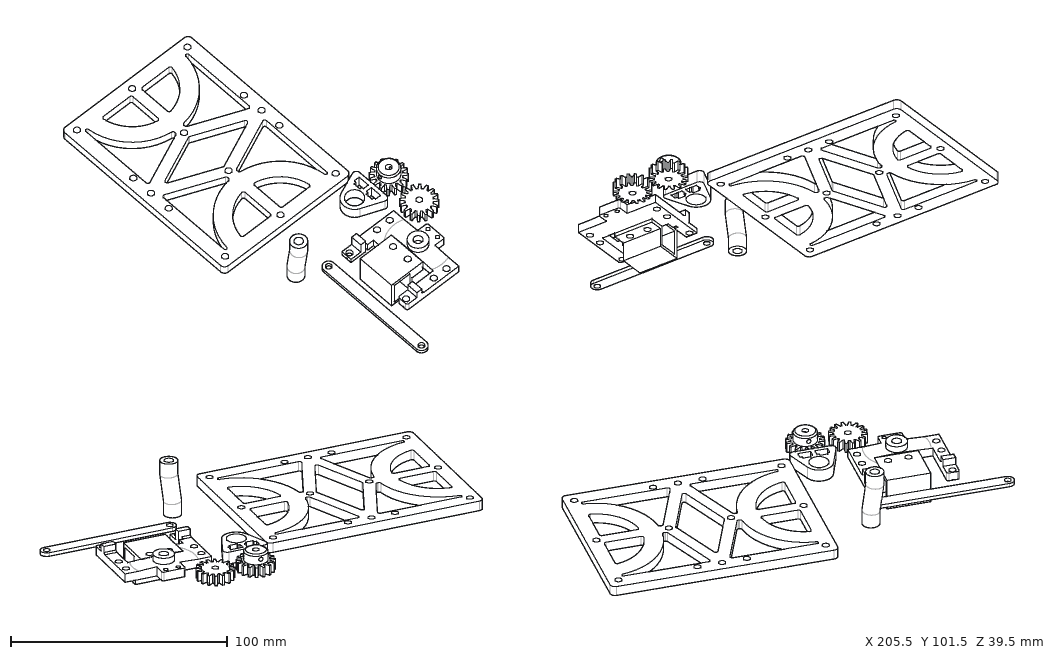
import cadquery as cq
import math

OVERALL_LENGTH = 205.5

PLATE_LENGTH = 109.7
PLATE_WIDTH = 80.1
PLATE_THICKNESS = 5.0
PLATE_CORNER_RADIUS = 2.5
FRAME_WIDTH = 7.5
RIB_WIDTH = 6.0
WINDOW_FILLET = 1.0
WINDOW_TIP_FILLET = 0.6
PLATE_HOLE_DIAMETER = 3.3
HOLE_END_X = 50.0
HOLE_EDGE_Y = 35.0
HOLE_NEAR_CENTER_X = 12.0
DIAMOND_HALF_LENGTH = 15.0
ARC_INNER_RADIUS = 22.0
ARC_OUTER_RADIUS = 31.0

GEAR_TEETH = 16
GEAR_TIP_RADIUS = 9.0
GEAR_ROOT_RADIUS = 6.5
TOOTH_ROOT_WIDTH = 1.8
TOOTH_TIP_WIDTH = 1.0
TOOTH_EMBED = 0.5
GEAR_BORE = 3.0
GEAR_Y = 52.5
HUB_GEAR_X = 66.8
FLAT_GEAR_X = 87.3
HUB_DIAMETER = 11.3
HUB_TOP = 10.0
HUB_CHAMFER = 0.8
SET_SCREW_DIAMETER = 2.0

EYE_X = HUB_GEAR_X
EYE_Y = 31.0
EYE_HEIGHT = 6.2
EYE_RADIUS = 6.8
EYE_HOLE = 9.2
EYE_TOP_Y = 42.7
EYE_CORNER_RADIUS = 2.0
EYE_CORNER_X = 9.0
SLOT_CENTER_X = 4.1
SLOT_WIDTH = 6.2
SLOT_TOP_Y = 40.7
SLOT_STEP_Y = 37.5
SLOT_BOTTOM_Y = 36.4
SLOT_STEP_WIDTH = 4.0

BAR_WIDTH = 6.2
BAR_THICKNESS = 1.8
BAR_Y = -2.5
BAR_HOLE_SPACING = 62.5
BAR_HOLE = 3.0

TUBE_X = 77.5
TUBE_Y = -16.0
TUBE_DIAMETER = 8.5
TUBE_BORE = 4.3
TUBE_SHIFT = 1.8
TUBE_END_LENGTH = 7.0
TUBE_HEIGHT = 28.0

HOLDER_MIN_X = 93.0
HOLDER_MAX_X = 114.2
HOLDER_MIN_Y = 9.9
HOLDER_WALL_Y = 22.8
HOLDER_BOTTOM = -11.5
FLANGE_BOTTOM = -1.8
TUNNEL_MIN_Y = 11.7
TUNNEL_MAX_Y = 21.5
TUNNEL_BOTTOM = -10.0
TUNNEL_TOP = 2.5
HOLDER_HOLE = 3.3
HOLDER_HOLE_Y = 25.7
HOLDER_HOLE_XS = (98.5, 108.3)

BRACKET_X = 105.5
BRACKET_HALF_WIDTH = 22.0
BRACKET_TOP = 4.3
ARM_WIDTH = 6.2
ARM_END_Y = 7.4
ARM_END_FILLET = 1.0
ARM_HOLE = 3.3
ARM_HOLE_X = 19.1
ARM_HOLE_YS = (35.0, 27.0, 9.5)
BEAM_MIN_Y = 29.5
BEAM_MAX_Y = 40.0
FOOT_MIN_Y = TUNNEL_MAX_Y
TAB_WIDTH = 11.7
TAB_MAX_Y = 46.2
TAB_CORNER_RADIUS = 0.8
TAB_HOLE = 2.0
TAB_HOLE_Y = 44.2
TAB_HOLE_SPACING = 6.4
BOSS_Y = 35.0
BOSS_DIAMETER = 10.0
BOSS_TOP = 8.0
BOSS_HOLE = 4.5
CONE_RADIUS = 15.8
CONE_RISE = 0.8
RIDGE_MIN_Y = 13.5
RIDGE_MAX_Y = 16.6
RAMP_MAX_Y = 17.9
RAMP_RISE = 0.6
LEFT_PAD_TOP = 2.5
NOTCH_DEPTH = 1.8

BRACKET_LEFT = BRACKET_X - BRACKET_HALF_WIDTH
BRACKET_RIGHT = BRACKET_X + BRACKET_HALF_WIDTH
LEFT_ARM_INNER_X = BRACKET_LEFT + ARM_WIDTH
RIGHT_ARM_INNER_X = BRACKET_RIGHT - ARM_WIDTH


def box(x0, x1, y0, y1, z0, z1):
    """Axis-aligned block between two opposite corners."""
    block = cq.Workplane("XY").box(x1 - x0, y1 - y0, z1 - z0, centered=False)
    return block.translate((x0, y0, z0))


def cylinder(x, y, diameter, z0, z1):
    """Upright cylinder between two heights."""
    return cq.Workplane("XY", origin=(x, y, z0)).circle(diameter / 2).extrude(z1 - z0)


def diamond(offset):
    """Rhombus through the holes of the diamond band, moved outward by a perpendicular offset."""
    slant = math.hypot(DIAMOND_HALF_LENGTH, HOLE_EDGE_Y)
    half_x = DIAMOND_HALF_LENGTH + offset * slant / HOLE_EDGE_Y
    half_y = half_x * HOLE_EDGE_Y / DIAMOND_HALF_LENGTH
    corners = [(half_x, 0), (0, half_y), (-half_x, 0), (0, -half_y)]
    return cq.Workplane("XY").polyline(corners).close().extrude(PLATE_THICKNESS)


def quarter_windows():
    """The two openings of one plate quarter: inside the arch, and between arch and diamond band."""
    window_x = PLATE_LENGTH / 2 - FRAME_WIDTH
    window_y = PLATE_WIDTH / 2 - FRAME_WIDTH
    quarter = box(0, window_x, RIB_WIDTH / 2, window_y, 0, PLATE_THICKNESS)
    inside = quarter.intersect(cylinder(HOLE_END_X, 0, 2 * ARC_INNER_RADIUS, 0, PLATE_THICKNESS))
    inside = inside.edges("|Z").fillet(WINDOW_FILLET)
    between = quarter.cut(cylinder(HOLE_END_X, 0, 2 * ARC_OUTER_RADIUS, 0, PLATE_THICKNESS))
    between = between.cut(diamond(RIB_WIDTH / 2))
    between = between.edges("|Z and (not >X)").fillet(WINDOW_FILLET)
    between = between.edges("|Z and >X").fillet(WINDOW_TIP_FILLET)
    return [inside, between]


def plate_hole_points():
    """Holes along both long edges and along the middle rib."""
    edge_xs = (-HOLE_END_X, -HOLE_NEAR_CENTER_X, 0, HOLE_NEAR_CENTER_X, HOLE_END_X)
    points = [(x, side * HOLE_EDGE_Y) for x in edge_xs for side in (-1, 1)]
    points += [(side * x, 0) for x in (DIAMOND_HALF_LENGTH, HOLE_END_X) for side in (-1, 1)]
    return points


def make_plate():
    plate = cq.Workplane("XY").rect(PLATE_LENGTH, PLATE_WIDTH).extrude(PLATE_THICKNESS)
    plate = plate.edges("|Z").fillet(PLATE_CORNER_RADIUS)
    plate = plate.cut(diamond(-RIB_WIDTH / 2).edges("|Z").fillet(WINDOW_FILLET))
    for window in quarter_windows():
        opposite = window.mirror("YZ")
        for opening in (window, opposite, window.mirror("XZ"), opposite.mirror("XZ")):
            plate = plate.cut(opening)
    for x, y in plate_hole_points():
        plate = plate.cut(cylinder(x, y, PLATE_HOLE_DIAMETER, 0, PLATE_THICKNESS))
    return plate


def gear_blank():
    """Spur gear with straight tapered teeth, one of them pointing along +X, centred on the Z axis."""
    base = GEAR_ROOT_RADIUS - TOOTH_EMBED
    corners = [
        (base, -TOOTH_ROOT_WIDTH / 2),
        (GEAR_TIP_RADIUS, -TOOTH_TIP_WIDTH / 2),
        (GEAR_TIP_RADIUS, TOOTH_TIP_WIDTH / 2),
        (base, TOOTH_ROOT_WIDTH / 2),
    ]
    tooth = cq.Workplane("XY").polyline(corners).close().extrude(PLATE_THICKNESS)
    gear = cylinder(0, 0, 2 * GEAR_ROOT_RADIUS, 0, PLATE_THICKNESS)
    for number in range(GEAR_TEETH):
        gear = gear.union(tooth.rotate((0, 0, 0), (0, 0, 1), number * 360 / GEAR_TEETH))
    return gear


def make_flat_gear():
    gear = gear_blank().cut(cylinder(0, 0, GEAR_BORE, 0, PLATE_THICKNESS))
    return gear.translate((FLAT_GEAR_X, GEAR_Y, 0))


def make_hub_gear():
    """Gear with a chamfered hub on top, crossed by a set screw hole along Y."""
    hub = cylinder(0, 0, HUB_DIAMETER, PLATE_THICKNESS, HUB_TOP)
    gear = gear_blank().union(hub.faces(">Z").chamfer(HUB_CHAMFER))
    screw_z = (PLATE_THICKNESS + HUB_TOP) / 2
    screw_hole = cq.Workplane("XZ", origin=(0, 0, screw_z)).circle(SET_SCREW_DIAMETER / 2)
    gear = gear.cut(screw_hole.extrude(HUB_DIAMETER, both=True))
    gear = gear.cut(cylinder(0, 0, GEAR_BORE, 0, HUB_TOP))
    return gear.translate((HUB_GEAR_X, GEAR_Y, 0))


def eye_outline():
    """Solid outline whose straight sides are tangent to the ring and to the two top corner rounds."""
    corner_y = EYE_TOP_Y - EYE_Y - EYE_CORNER_RADIUS
    lean = math.asin((EYE_RADIUS - EYE_CORNER_RADIUS) / math.hypot(EYE_CORNER_X, corner_y))
    normal = math.atan2(corner_y, EYE_CORNER_X) - math.pi / 2 + lean
    middle = (normal + math.pi / 2) / 2
    ring_x = EYE_RADIUS * math.cos(normal)
    ring_y = EYE_RADIUS * math.sin(normal)
    side_x = EYE_CORNER_X + EYE_CORNER_RADIUS * math.cos(normal)
    side_y = corner_y + EYE_CORNER_RADIUS * math.sin(normal)
    round_x = EYE_CORNER_X + EYE_CORNER_RADIUS * math.cos(middle)
    round_y = corner_y + EYE_CORNER_RADIUS * math.sin(middle)
    top_y = corner_y + EYE_CORNER_RADIUS
    return (
        cq.Workplane("XY", origin=(EYE_X, EYE_Y, 0))
        .moveTo(ring_x, ring_y)
        .lineTo(side_x, side_y)
        .threePointArc((round_x, round_y), (EYE_CORNER_X, top_y))
        .lineTo(-EYE_CORNER_X, top_y)
        .threePointArc((-round_x, round_y), (-side_x, side_y))
        .lineTo(-ring_x, ring_y)
        .threePointArc((0, -EYE_RADIUS), (ring_x, ring_y))
        .close()
        .extrude(EYE_HEIGHT)
    )


def make_eye_plate():
    eye = eye_outline().cut(cylinder(EYE_X, EYE_Y, EYE_HOLE, 0, EYE_HEIGHT))
    half_slot = SLOT_WIDTH / 2
    half_step = SLOT_STEP_WIDTH / 2
    for side in (-1, 1):
        x = EYE_X + side * SLOT_CENTER_X
        eye = eye.cut(box(x - half_slot, x + half_slot, SLOT_STEP_Y, SLOT_TOP_Y, 0, EYE_HEIGHT))
        eye = eye.cut(box(x - half_step, x + half_step, SLOT_BOTTOM_Y, SLOT_STEP_Y, 0, EYE_HEIGHT))
    return eye


def make_bar():
    right_x = OVERALL_LENGTH - PLATE_LENGTH / 2 - BAR_WIDTH / 2
    left_x = right_x - BAR_HOLE_SPACING
    bar = (
        cq.Workplane("XY", origin=((left_x + right_x) / 2, BAR_Y, 0))
        .slot2D(BAR_HOLE_SPACING + BAR_WIDTH, BAR_WIDTH)
        .extrude(BAR_THICKNESS)
    )
    for x in (left_x, right_x):
        bar = bar.cut(cylinder(x, BAR_Y, BAR_HOLE, 0, BAR_THICKNESS))
    return bar


def tube_rod(diameter):
    """Round rod with two mitred bends that shift its top along X."""
    bends = [
        (0, 0),
        (0, TUBE_END_LENGTH),
        (TUBE_SHIFT, TUBE_HEIGHT - TUBE_END_LENGTH),
        (TUBE_SHIFT, TUBE_HEIGHT),
    ]
    path = cq.Workplane("XZ", origin=(TUBE_X, TUBE_Y, 0)).polyline(bends)
    profile = cq.Workplane("XY", origin=(TUBE_X, TUBE_Y, 0)).circle(diameter / 2)
    return profile.sweep(path, transition="right")


def make_tube():
    return tube_rod(TUBE_DIAMETER).cut(tube_rod(TUBE_BORE))


def bracket_middle(top):
    """Cross beam, foot and tab, from the underside to a given height."""
    half_tab = TAB_WIDTH / 2
    beam = box(BRACKET_LEFT, BRACKET_RIGHT, BEAM_MIN_Y, BEAM_MAX_Y, 0, top)
    foot = box(BRACKET_LEFT, HOLDER_MIN_X, FOOT_MIN_Y, BEAM_MIN_Y, 0, top)
    tab = box(BRACKET_X - half_tab, BRACKET_X + half_tab, BEAM_MIN_Y, TAB_MAX_Y, 0, top)
    return beam.union(foot).union(tab.edges("|Z and >Y").fillet(TAB_CORNER_RADIUS))


def bracket_cone():
    """Shallow cone around the boss, kept within the outline of the beam, foot and tab."""
    base = cq.Vector(BRACKET_X, BOSS_Y, BRACKET_TOP)
    cone = cq.Workplane(cq.Solid.makeCone(CONE_RADIUS, 0, CONE_RISE, base))
    return cone.intersect(bracket_middle(BOSS_TOP))


def ridge(inner_x):
    """Cross ridge on an arm with a short ramp on its +Y side."""
    profile = [
        (RIDGE_MIN_Y, 0),
        (RIDGE_MIN_Y, BOSS_TOP),
        (RIDGE_MAX_Y, BOSS_TOP),
        (RIDGE_MAX_Y, BRACKET_TOP + RAMP_RISE),
        (RAMP_MAX_Y, BRACKET_TOP),
        (RAMP_MAX_Y, 0),
    ]
    return cq.Workplane("YZ", origin=(inner_x, 0, 0)).polyline(profile).close().extrude(ARM_WIDTH)


def make_bracket():
    left_arm = box(BRACKET_LEFT, LEFT_ARM_INNER_X, ARM_END_Y, BEAM_MAX_Y, 0, BRACKET_TOP)
    right_arm = box(RIGHT_ARM_INNER_X, BRACKET_RIGHT, ARM_END_Y, BEAM_MAX_Y, 0, BRACKET_TOP)
    right_arm = right_arm.edges("|Z and <Y").fillet(ARM_END_FILLET)
    bracket = bracket_middle(BRACKET_TOP).union(left_arm).union(right_arm).union(bracket_cone())

    bracket = bracket.union(cylinder(BRACKET_X, BOSS_Y, BOSS_DIAMETER, BRACKET_TOP, BOSS_TOP))
    bracket = bracket.cut(cylinder(BRACKET_X, BOSS_Y, BOSS_HOLE, BRACKET_TOP, BOSS_TOP))

    bracket = bracket.union(ridge(BRACKET_LEFT)).union(ridge(RIGHT_ARM_INNER_X))
    bracket = bracket.cut(
        box(BRACKET_LEFT, LEFT_ARM_INNER_X, ARM_END_Y, RIDGE_MIN_Y, LEFT_PAD_TOP, BRACKET_TOP)
    )
    notch_x = LEFT_ARM_INNER_X - NOTCH_DEPTH
    bracket = bracket.cut(box(notch_x, LEFT_ARM_INNER_X, RIDGE_MAX_Y, RAMP_MAX_Y, 0, BOSS_TOP))

    for side in (-1, 1):
        for y in ARM_HOLE_YS:
            bracket = bracket.cut(cylinder(BRACKET_X + side * ARM_HOLE_X, y, ARM_HOLE, 0, BRACKET_TOP))
        tab_hole_x = BRACKET_X + side * TAB_HOLE_SPACING / 2
        bracket = bracket.cut(cylinder(tab_hole_x, TAB_HOLE_Y, TAB_HOLE, 0, BOSS_TOP))
    return bracket


def make_holder():
    """Box with a tunnel through it along X and a drilled flange on its +Y side."""
    body = box(HOLDER_MIN_X, HOLDER_MAX_X, HOLDER_MIN_Y, HOLDER_WALL_Y, HOLDER_BOTTOM, BRACKET_TOP)
    flange = box(HOLDER_MIN_X, HOLDER_MAX_X, HOLDER_WALL_Y, BEAM_MIN_Y, FLANGE_BOTTOM, BRACKET_TOP)
    tunnel = box(HOLDER_MIN_X, HOLDER_MAX_X, TUNNEL_MIN_Y, TUNNEL_MAX_Y, TUNNEL_BOTTOM, TUNNEL_TOP)
    holder = body.union(flange).cut(tunnel)
    for x in HOLDER_HOLE_XS:
        holder = holder.cut(cylinder(x, HOLDER_HOLE_Y, HOLDER_HOLE, FLANGE_BOTTOM, BRACKET_TOP))
    return holder


plate = make_plate()
hub_gear = make_hub_gear()
flat_gear = make_flat_gear()
eye_plate = make_eye_plate()
bar = make_bar()
tube = make_tube()
bracket = make_bracket()
holder = make_holder()

bodies = (plate, hub_gear, flat_gear, eye_plate, bar, tube, bracket, holder)
result = cq.Compound.makeCompound([body.solids().val() for body in bodies])